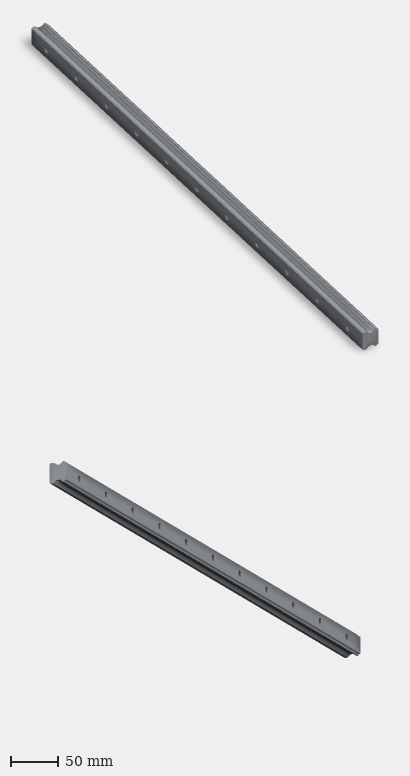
import cadquery as cq

length = 660.0
height = 20.0
width = 23.0
half_width = width / 2

foot_height = 4.8
groove_start = 7.9
groove_end = 12.7
groove_depth = 3.0
base_chamfer = 1.2

ridge_bottom = 15.6
ridge_top = 17.3
raceway_size = 1.8
crown_inset = 0.5
raceway_sag = 0.5

hole_pitch = 60.0
hole_diameter = 7.0
hole_count = round(length / hole_pitch)


def rail_half():
    """Extrude the +Z half of the cross-section along X, centred on the origin."""
    base = -height / 2
    neck = half_width - groove_depth
    track = half_width - raceway_size
    return (
        cq.Workplane("YZ")
        .moveTo(base, 0)
        .lineTo(base, half_width - base_chamfer)
        .lineTo(base + base_chamfer, half_width)
        .lineTo(base + foot_height, half_width)
        .lineTo(base + groove_start, neck)
        .lineTo(base + groove_end, neck)
        .lineTo(base + ridge_bottom - raceway_size, track)
        .sagittaArc((base + ridge_bottom, half_width), -raceway_sag)
        .lineTo(base + ridge_top, half_width)
        .sagittaArc((base + ridge_top + raceway_size, track), -raceway_sag)
        .lineTo(base + height, track - crown_inset)
        .lineTo(base + height, 0)
        .close()
        .extrude(length / 2, both=True)
    )


def mounting_holes():
    """Row of plain holes through the full rail height along Y."""
    first_x = -hole_pitch * (hole_count - 1) / 2
    centres = [(first_x + i * hole_pitch, 0) for i in range(hole_count)]
    return (
        cq.Workplane("XZ")
        .pushPoints(centres)
        .circle(hole_diameter / 2)
        .extrude(height, both=True)
    )


positive_half = rail_half()
body = positive_half.union(positive_half.mirror("XY")).clean()
result = body.cut(mounting_holes())